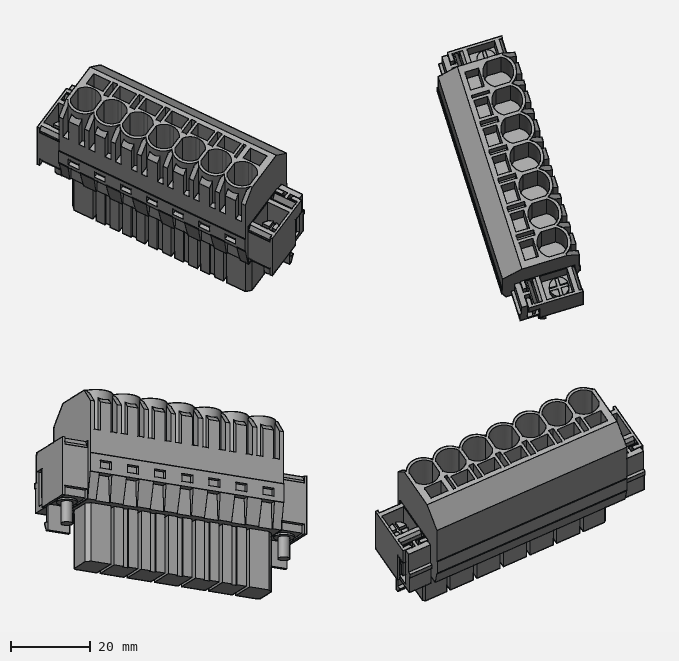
import cadquery as cq

POLES = 7
PITCH = 7.6
OVERALL_LENGTH = 68.6
HOUSING_LENGTH = 54.3
HOUSING_HEIGHT = 44.7
HOUSING_DEPTH = 20.6
HOUSING_BOTTOM = 15.4

WALL_INSET = 0.2
BAND_BOTTOM = 22.3
BAND_TOP = 27.2
FRONT_CHAMFER_Y = 3.6
FRONT_CHAMFER_Z = 41.0
BACK_CHAMFER_Y = 15.3
BACK_CHAMFER_Z = 39.9
TAPER_FRONT_Y = 1.6
TAPER_BACK_Y = 19.5
BACK_BOTTOM = 17.55

FUNNEL_Y = 5.6
FUNNEL_RADIUS = 4.3
SLOT_BOTTOM = 33.6
SLOT_INNER = 1.5
SLOT_OUTER = 3.15
WELL_Y = 6.0
WELL_RADIUS = 3.85
WELL_WIDTH = 6.7
WELL_BACK_FLAT = 0.035
WELL_DEPTH = 17.15

POCKET_WIDTH = 4.8
POCKET_FRONT_Y = 10.35
POCKET_BACK_Y = 13.9
POCKET_DEPTH = 8.2
GROOVE_WIDTH = 1.3
LAST_GROOVE_WIDTH = 0.7
GROOVE_LEFT = 0.7
GROOVE_FRONT_Y = 9.5
GROOVE_BACK_Y = 14.1
GROOVE_DEPTH = 4.1

WINDOW_WIDTH = 3.1
WINDOW_BOTTOM = 23.5
WINDOW_TOP = 25.6
WINDOW_DEPTH = 1.2
PANEL_Y = 2.0
PANEL_TOP_WIDTH = 3.5
PANEL_BOTTOM_WIDTH = 4.0

LEG_WIDTH = 6.65
LEG_FRONT_Y = 3.9
LEG_BACK_Y = 11.65
LEG_GROOVE_WIDTH = 1.5
LEG_GROOVE_DEPTH = 0.55
END_FRONT_CHAMFER = 1.2
END_BACK_CHAMFER = 0.55

FLANGE_TOP = 30.7
OUTER_WALL = 0.7
INNER_WALL = 0.2
FLANGE_OUTER_X = -OVERALL_LENGTH / 2
FLANGE_INNER_X = -HOUSING_LENGTH / 2
INSIDE_LEFT = FLANGE_OUTER_X + OUTER_WALL
INSIDE_RIGHT = FLANGE_INNER_X - INNER_WALL
FLANGE_X = (INSIDE_LEFT + INSIDE_RIGHT) / 2
FLANGE_FRONT_Y = 1.45
WALL_BACK_Y = 15.7
CUTOUT_FRONT_Y = 12.8
CUTOUT_TOP = 25.65
BASE_BOTTOM = 15.9
SEAT_Z = 23.3
FRONT_WALL_BACK_Y = 3.6
LIP_TOP_Y = 2.3
LIP_Y = 1.6
LIP_CHAMFER_Z = 29.5
LIP_BOTTOM = 28.9
FOOT_RECESS_Y = 2.6
FOOT_RECESS_TOP = 18.0

ARM_FRONT_Y = 10.8
ARM_BACK_Y = 12.7
ARM_BEVEL = 0.75
TONGUE_FRONT_Y = 11
TONGUE_BACK_Y = 11.8
TONGUE_BOTTOM = 9.05
HOOK_Y = 12.9
HOOK_TOP = 11.4

FLOOR_TOP = 16.7
PLATE_FRONT_Y = 15.85
PLATE_BACK_Y = 17.35
PLATE_FOOT_BACK_Y = 17.75
NUB_BACK_Y = 18.2
NUB_BOTTOM = 21.95
NUB_TOP = 23.4
RAIL_BACK_Y = 14.5
RAIL_TOP_Y = 14.1
RAIL_NOSE_Y = 13.1
RAIL_NOSE_Z = 28.5
RAIL_FOOT_Y = 13.85
RAIL_BOTTOM = 18.6
WEB_WIDTH = 0.8
GUIDE_FRONT_Y = 14.7
GUIDE_GAP = 2.55

SCREW_Y = 6.6
HEAD_RADIUS = 2.5
HEAD_TOP = 26.6
SHANK_RADIUS = 1.5
SHANK_BOTTOM = 9.9
CROSS_WIDTH = 0.8
CROSS_DEPTH = 1.0
COLLAR_RADIUS = 2.6

POLE_XS = [(i - (POLES - 1) / 2) * PITCH for i in range(POLES)]


def block(x0, x1, y0, y1, z0, z1):
    """Box between the given coordinates."""
    return cq.Workplane("XY").box(x1 - x0, y1 - y0, z1 - z0, centered=False).translate((x0, y0, z0))


def centred_block(x, width, y0, y1, z0, z1):
    """Box centred on x."""
    return block(x - width / 2, x + width / 2, y0, y1, z0, z1)


def side_profile(points, x0, x1):
    """Outline given as (y, z) points, extruded from x0 to x1."""
    return cq.Workplane("YZ").polyline(points).close().extrude(x1 - x0).translate((x0, 0, 0))


def cylinder(x, y, radius, z0, z1):
    """Upright cylinder."""
    return cq.Workplane("XY").center(x, y).circle(radius).extrude(z1 - z0).translate((0, 0, z0))



def housing_block():
    back_wall_y = HOUSING_DEPTH - WALL_INSET
    outline = [
        (TAPER_FRONT_Y, HOUSING_BOTTOM),
        (WALL_INSET, BAND_BOTTOM),
        (0, BAND_BOTTOM),
        (0, BAND_TOP),
        (WALL_INSET, BAND_TOP),
        (WALL_INSET, FRONT_CHAMFER_Z),
        (FRONT_CHAMFER_Y, HOUSING_HEIGHT),
        (BACK_CHAMFER_Y, HOUSING_HEIGHT),
        (back_wall_y, BACK_CHAMFER_Z),
        (back_wall_y, BAND_TOP),
        (HOUSING_DEPTH, BAND_TOP),
        (HOUSING_DEPTH, BAND_BOTTOM),
        (back_wall_y, BAND_BOTTOM),
        (TAPER_BACK_Y, BACK_BOTTOM),
        (LEG_BACK_Y, BACK_BOTTOM),
        (LEG_BACK_Y, HOUSING_BOTTOM),
    ]
    return side_profile(outline, -HOUSING_LENGTH / 2, HOUSING_LENGTH / 2)


def front_slots(x):
    """The two slots that expose the funnel on either side of its front tab."""
    slots = centred_block(x, 2 * SLOT_OUTER, 0, FUNNEL_Y, SLOT_BOTTOM, HOUSING_HEIGHT)
    return slots.cut(centred_block(x, 2 * SLOT_INNER, 0, FUNNEL_Y, SLOT_BOTTOM, HOUSING_HEIGHT))


def funnel(x):
    return cylinder(x, FUNNEL_Y, FUNNEL_RADIUS, SLOT_BOTTOM, HOUSING_HEIGHT)


def well(x):
    """Round wire well with two flat sides and a narrow flat at the back."""
    bottom = HOUSING_HEIGHT - WELL_DEPTH
    bore = cylinder(x, WELL_Y, WELL_RADIUS, bottom, HOUSING_HEIGHT)
    front_y = WELL_Y - WELL_RADIUS
    back_y = WELL_Y + WELL_RADIUS - WELL_BACK_FLAT
    flats = centred_block(x, WELL_WIDTH, front_y, back_y, bottom, HOUSING_HEIGHT)
    return bore.intersect(flats)


def top_pocket(x):
    bottom = HOUSING_HEIGHT - POCKET_DEPTH
    return centred_block(x, POCKET_WIDTH, POCKET_FRONT_Y, POCKET_BACK_Y, bottom, HOUSING_HEIGHT)


def top_groove(x, width):
    left = x + PITCH / 2 - GROOVE_LEFT
    bottom = HOUSING_HEIGHT - GROOVE_DEPTH
    return block(left, left + width, GROOVE_FRONT_Y, GROOVE_BACK_Y, bottom, HOUSING_HEIGHT)


def window(x):
    return centred_block(x, WINDOW_WIDTH, 0, WINDOW_DEPTH, WINDOW_BOTTOM, WINDOW_TOP)


def panel_recess(x):
    """Upright panel sunk into the tapered front, slightly wider at the bottom."""
    outline = [
        (x - PANEL_BOTTOM_WIDTH / 2, HOUSING_BOTTOM),
        (x - PANEL_TOP_WIDTH / 2, BAND_BOTTOM),
        (x + PANEL_TOP_WIDTH / 2, BAND_BOTTOM),
        (x + PANEL_BOTTOM_WIDTH / 2, HOUSING_BOTTOM),
    ]
    return cq.Workplane("XZ").polyline(outline).close().extrude(-PANEL_Y)


def plain_leg(x):
    return centred_block(x, LEG_WIDTH, LEG_FRONT_Y, LEG_BACK_Y, 0, HOUSING_BOTTOM)


def grooved_leg(x):
    groove_back_y = LEG_FRONT_Y + LEG_GROOVE_DEPTH
    groove = centred_block(x, LEG_GROOVE_WIDTH, LEG_FRONT_Y, groove_back_y, 0, HOUSING_BOTTOM)
    return plain_leg(x).cut(groove)


def end_leg(x):
    """Leg at an end of the row, with its two outward upright edges chamfered."""
    outward = "<X" if x < 0 else ">X"
    leg = plain_leg(x).faces(outward).edges("|Z and <Y").chamfer(END_FRONT_CHAMFER)
    return leg.faces(outward).edges("|Z and >Y").chamfer(END_BACK_CHAMFER)


def make_housing():
    body = housing_block()
    for x in POLE_XS:
        body = body.cut(front_slots(x))
    for x in POLE_XS:
        body = body.union(funnel(x))
    for x in POLE_XS:
        body = body.cut(well(x)).cut(top_pocket(x)).cut(window(x)).cut(panel_recess(x))
    for x in POLE_XS[:-2]:
        body = body.cut(top_groove(x, GROOVE_WIDTH))
    body = body.cut(top_groove(POLE_XS[-2], LAST_GROOVE_WIDTH))
    for x in POLE_XS[1:-1]:
        body = body.union(grooved_leg(x))
    for x in (POLE_XS[0], POLE_XS[-1]):
        body = body.union(end_leg(x))
    return body



def flange_side_wall(x0, x1):
    outline = [
        (FLANGE_FRONT_Y, HOUSING_BOTTOM),
        (FLANGE_FRONT_Y, FLANGE_TOP),
        (WALL_BACK_Y, FLANGE_TOP),
        (WALL_BACK_Y, CUTOUT_TOP),
        (CUTOUT_FRONT_Y, CUTOUT_TOP),
        (CUTOUT_FRONT_Y, HOUSING_BOTTOM),
    ]
    return side_profile(outline, x0, x1)


def flange_core():
    """Front wall, screw seat and latch arm between the side walls."""
    outline = [
        (FOOT_RECESS_Y, BASE_BOTTOM),
        (FOOT_RECESS_Y, FOOT_RECESS_TOP),
        (FLANGE_FRONT_Y, FOOT_RECESS_TOP),
        (FLANGE_FRONT_Y, LIP_BOTTOM),
        (LIP_Y, LIP_BOTTOM),
        (LIP_Y, LIP_CHAMFER_Z),
        (LIP_TOP_Y, FLANGE_TOP),
        (FRONT_WALL_BACK_Y, FLANGE_TOP),
        (FRONT_WALL_BACK_Y, SEAT_Z),
        (ARM_FRONT_Y, SEAT_Z),
        (ARM_FRONT_Y, FLANGE_TOP),
        (ARM_BACK_Y - ARM_BEVEL, FLANGE_TOP),
        (ARM_BACK_Y, FLANGE_TOP - ARM_BEVEL),
        (ARM_BACK_Y, BASE_BOTTOM),
    ]
    return side_profile(outline, INSIDE_LEFT, INSIDE_RIGHT)


def latch_tongue():
    outline = [
        (TONGUE_FRONT_Y, BASE_BOTTOM),
        (TONGUE_BACK_Y, BASE_BOTTOM),
        (TONGUE_BACK_Y, HOOK_TOP),
        (HOOK_Y, HOOK_TOP),
        (TONGUE_BACK_Y, TONGUE_BOTTOM),
        (TONGUE_FRONT_Y, TONGUE_BOTTOM),
    ]
    return side_profile(outline, INSIDE_LEFT, INSIDE_RIGHT)


def back_plate():
    """Floor behind the latch arm and the plate that rises from it, with an outer nub."""
    outline = [
        (ARM_BACK_Y, HOUSING_BOTTOM),
        (ARM_BACK_Y, FLOOR_TOP),
        (PLATE_FRONT_Y, FLOOR_TOP),
        (PLATE_FRONT_Y, FLANGE_TOP),
        (PLATE_BACK_Y, FLANGE_TOP),
        (PLATE_BACK_Y, NUB_TOP),
        (NUB_BACK_Y, NUB_TOP),
        (NUB_BACK_Y, NUB_BOTTOM),
        (PLATE_FOOT_BACK_Y, NUB_BOTTOM),
        (PLATE_FOOT_BACK_Y, HOUSING_BOTTOM),
    ]
    return side_profile(outline, INSIDE_LEFT, INSIDE_RIGHT)


def t_rail():
    """Rail in front of the back plate, joined to it by a narrow web."""
    outline = [
        (RAIL_BACK_Y, RAIL_BOTTOM),
        (RAIL_BACK_Y, FLANGE_TOP),
        (RAIL_TOP_Y, FLANGE_TOP),
        (RAIL_NOSE_Y, RAIL_NOSE_Z),
        (RAIL_FOOT_Y, RAIL_BOTTOM),
    ]
    rail = side_profile(outline, INSIDE_LEFT, INSIDE_RIGHT)
    web = centred_block(FLANGE_X, WEB_WIDTH, RAIL_BACK_Y, PLATE_FRONT_Y, FLOOR_TOP, FLANGE_TOP)
    web_foot = centred_block(FLANGE_X, WEB_WIDTH, RAIL_FOOT_Y, PLATE_FRONT_Y, FLOOR_TOP, RAIL_BOTTOM)
    return rail.union(web).union(web_foot)


def rail_guides():
    """Two lips on the side walls that reach behind the rail."""
    guides = block(INSIDE_LEFT, INSIDE_RIGHT, GUIDE_FRONT_Y, WALL_BACK_Y, CUTOUT_TOP, FLANGE_TOP)
    gap = centred_block(FLANGE_X, GUIDE_GAP, GUIDE_FRONT_Y, WALL_BACK_Y, CUTOUT_TOP, FLANGE_TOP)
    return guides.cut(gap)


def make_left_flange():
    flange = flange_side_wall(FLANGE_OUTER_X, INSIDE_LEFT)
    flange = flange.union(flange_side_wall(INSIDE_RIGHT, FLANGE_INNER_X))
    flange = flange.union(flange_core()).union(latch_tongue()).union(back_plate())
    flange = flange.union(rail_guides()).union(t_rail())
    flange = flange.union(cylinder(FLANGE_X, SCREW_Y, COLLAR_RADIUS, HOUSING_BOTTOM, BASE_BOTTOM))
    return flange.cut(cylinder(FLANGE_X, SCREW_Y, SHANK_RADIUS, HOUSING_BOTTOM, SEAT_Z))



def make_left_screw():
    screw = cylinder(FLANGE_X, SCREW_Y, SHANK_RADIUS, SHANK_BOTTOM, SEAT_Z)
    screw = screw.union(cylinder(FLANGE_X, SCREW_Y, HEAD_RADIUS, SEAT_Z, HEAD_TOP))
    arm = cq.Workplane("XY").box(2 * HEAD_RADIUS, CROSS_WIDTH, 2 * CROSS_DEPTH)
    cross = arm.union(arm.rotate((0, 0, 0), (0, 0, 1), 90))
    return screw.cut(cross.translate((FLANGE_X, SCREW_Y, HEAD_TOP)))



housing = make_housing()
left_flange = make_left_flange()
left_screw = make_left_screw()
flanges = [left_flange, left_flange.mirror("YZ")]
screws = [left_screw, left_screw.mirror("YZ")]

result = cq.Compound.makeCompound([part.val() for part in [housing, *flanges, *screws]])